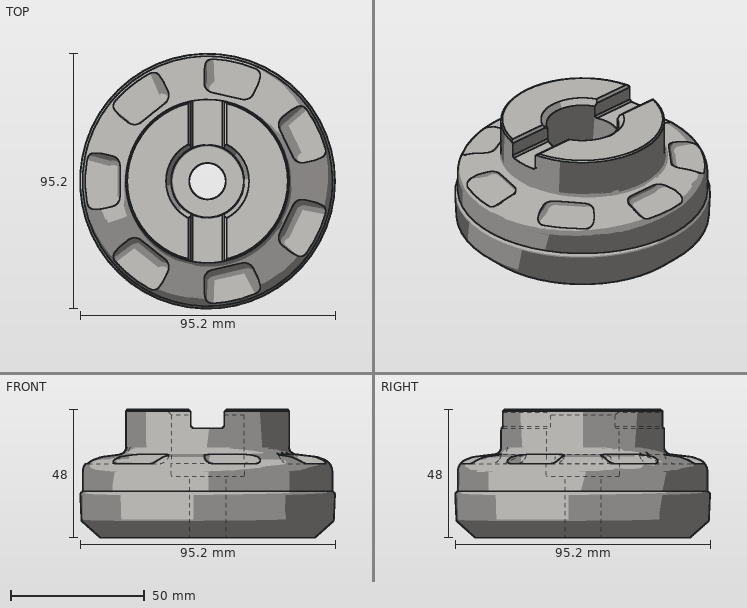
import cadquery as cq
import math


total_height = 47.95
seam_z = 17.5
screw_hole_diameter = 13.5

body_radius = 93.27 / 2
rim_z = 28.15
rim_round = 5.0
outer_cone_angle = 20.0
inner_cone_angle = 7.0
cone_break_radius = 40.8
cone_break_round = 5.0
hub_radius = 61.0 / 2
hub_base_round = 2.5
hub_chamfer = 0.6

bore_radius = 27.01 / 2
bore_depth = 25.0
bore_mouth_chamfer = 2.0
bore_floor_round = 0.85
relief_radius = 27.5 / 2
relief_start_depth = 20.0
slot_width = 12.4
slot_depth = 7.0
slot_mouth_chamfer = 1.0
slot_floor_chamfer = 0.75

pocket_count = 7
pocket_floor_z = 27.7
pocket_round = 4.0
pocket_floor_start = 36.6
pocket_floor_half_width = 5.7
pocket_side_angle = 15.0
pocket_first_angle = 180.0
pocket_clearance = 1.0

disc_bottom_radius = 40.0
disc_lower_corner = (47.15, 6.4)
disc_upper_corner = (47.62, 16.55)
disc_corner_round = 1.0


def rounded_profile(corners):
    """Closed XZ outline through (radius, z, rounding) corners, rounded by tangent arcs."""
    outline = None
    for i, (x, z, rounding) in enumerate(corners):
        corner = cq.Vector(x, z)
        before = cq.Vector(*corners[i - 1][:2])
        after = cq.Vector(*corners[(i + 1) % len(corners)][:2])
        to_before = (before - corner).normalized()
        to_after = (after - corner).normalized()
        half_angle = to_before.getAngle(to_after) / 2
        setback = rounding / math.tan(half_angle)
        start = (corner + to_before * setback).toTuple()[:2]
        outline = outline.lineTo(*start) if outline else cq.Workplane("XZ").moveTo(*start)
        if rounding:
            end = (corner + to_after * setback).toTuple()[:2]
            inward = (to_before + to_after).normalized()
            middle = corner + inward * (rounding / math.sin(half_angle) - rounding)
            outline = outline.threePointArc(middle.toTuple()[:2], end)
    return outline.close()


def turned(corners):
    """Solid of revolution about Z of a rounded profile."""
    return rounded_profile(corners).revolve(360, (0, 0), (0, 1))


def turned_body():
    outer_rise = (body_radius - cone_break_radius) * math.tan(math.radians(outer_cone_angle))
    inner_rise = (cone_break_radius - hub_radius) * math.tan(math.radians(inner_cone_angle))
    cone_break_z = rim_z + outer_rise
    return turned([
        (0, seam_z, 0),
        (body_radius, seam_z, 0),
        (body_radius, rim_z, rim_round),
        (cone_break_radius, cone_break_z, cone_break_round),
        (hub_radius, cone_break_z + inner_rise, hub_base_round),
        (hub_radius, total_height - hub_chamfer, 0),
        (hub_radius - hub_chamfer, total_height, 0),
        (0, total_height, 0),
    ])


def arbor_bore():
    """Chamfered bore with a relief above its rounded floor."""
    floor_z = total_height - bore_depth
    return turned([
        (0, floor_z, 0),
        (relief_radius, floor_z, bore_floor_round),
        (relief_radius, total_height - relief_start_depth, 0),
        (bore_radius, total_height - relief_start_depth, 0),
        (bore_radius, total_height - bore_mouth_chamfer, 0),
        (bore_radius + bore_mouth_chamfer, total_height, 0),
        (0, total_height, 0),
    ])


def driving_slot():
    """Slot along Y across the hub, chamfered at its mouth and along its floor."""
    half_width = slot_width / 2
    floor_z = total_height - slot_depth
    right_side = [
        (half_width - slot_floor_chamfer, floor_z),
        (half_width, floor_z + slot_floor_chamfer),
        (half_width, total_height - slot_mouth_chamfer),
        (half_width + slot_mouth_chamfer, total_height),
    ]
    left_side = [(-x, z) for x, z in reversed(right_side)]
    return cq.Workplane("XZ").polyline(right_side + left_side).close().extrude(hub_radius, both=True)


def pocket(angle):
    """Cutter for one wedge pocket: open outwards, its floor and corners rounded alike."""
    side_slope = math.tan(math.radians(pocket_side_angle))
    wall_start = pocket_floor_start - pocket_round
    wall_end = body_radius + pocket_round + pocket_clearance
    side_setback = pocket_round / math.cos(math.radians(pocket_side_angle))

    def half_width(distance):
        return pocket_floor_half_width + side_setback + (distance - pocket_floor_start) * side_slope

    return (
        cq.Workplane("XY", origin=(0, 0, pocket_floor_z))
        .polyline([
            (wall_start, -half_width(wall_start)),
            (wall_end, -half_width(wall_end)),
            (wall_end, half_width(wall_end)),
            (wall_start, half_width(wall_start)),
        ])
        .close()
        .extrude(pocket_round + pocket_clearance)
        .edges("(<X and |Z) or (<Z and (not >X))")
        .fillet(pocket_round)
        .rotate((0, 0, 0), (0, 0, 1), angle)
    )


def screw_hole():
    return cq.Workplane("XY").circle(screw_hole_diameter / 2).extrude(total_height)


def tool_body():
    body = turned_body().cut(arbor_bore()).cut(driving_slot()).cut(screw_hole())
    for i in range(pocket_count):
        body = body.cut(pocket(pocket_first_angle + i * 360 / pocket_count))
    return body


def cutting_disc():
    disc = turned([
        (0, 0, 0),
        (disc_bottom_radius, 0, disc_corner_round),
        (*disc_lower_corner, disc_corner_round),
        (*disc_upper_corner, disc_corner_round),
        (body_radius, seam_z, 0),
        (0, seam_z, 0),
    ])
    return disc.cut(screw_hole())


result = cq.Compound.makeCompound([tool_body().val(), cutting_disc().val()])